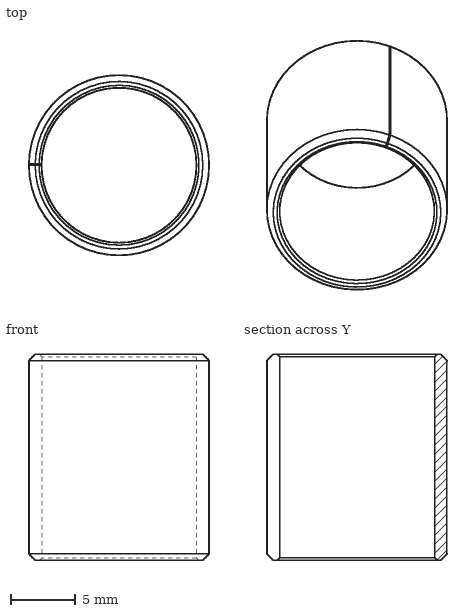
import cadquery as cq

outer_diameter = 14.0
bore_diameter = 12.0
length = 16.0

outer_chamfer = 0.5
inner_chamfer = 0.2

seam_width = 0.1

outer_radius = outer_diameter / 2
bore_radius = bore_diameter / 2


def make_sleeve():
    """Chamfered tube centred on Z with its lower end at Z = 0."""
    profile = (
        cq.Workplane("XZ")
        .moveTo(bore_radius, inner_chamfer)
        .lineTo(bore_radius + inner_chamfer, 0)
        .lineTo(outer_radius - outer_chamfer, 0)
        .lineTo(outer_radius, outer_chamfer)
        .lineTo(outer_radius, length - outer_chamfer)
        .lineTo(outer_radius - outer_chamfer, length)
        .lineTo(bore_radius + inner_chamfer, length)
        .lineTo(bore_radius, length - inner_chamfer)
        .close()
    )
    return profile.revolve(360, (0, 0), (0, 1))


def make_seam_cutter():
    """Full-length slab from the axis out past the -X wall, with one face on the XZ plane."""
    return (
        cq.Workplane("XY")
        .box(outer_diameter, seam_width, length, centered=False)
        .translate((-outer_diameter, 0, 0))
    )


result = make_sleeve().cut(make_seam_cutter())